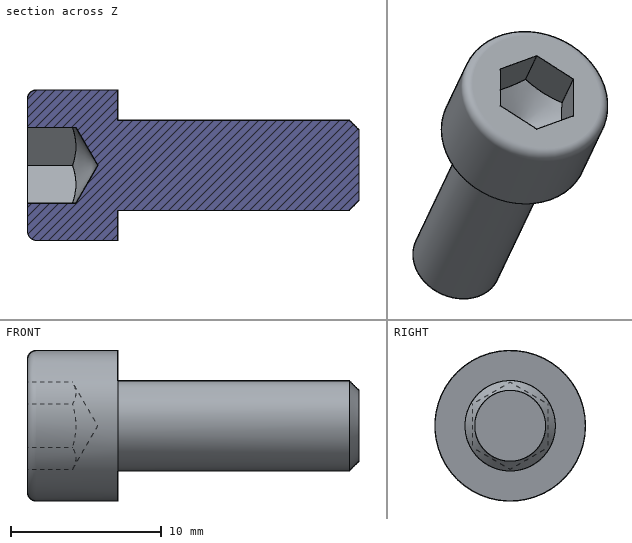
import cadquery as cq
import math

thread_diameter = 6.0
shank_length = 16.0
end_chamfer = 0.65

head_diameter = 10.0
head_length = thread_diameter
head_fillet = 0.6

hex_across_flats = 5.0
hex_depth = 3.0
socket_cone_angle = 120.0

hex_across_corners = hex_across_flats / math.cos(math.radians(30))
socket_cone_radius = hex_across_corners / 2
socket_cone_depth = socket_cone_radius / math.tan(math.radians(socket_cone_angle / 2))


def make_head():
    """Cylindrical head with a rounded outer edge on its driving face."""
    head = cq.Workplane("YZ").circle(head_diameter / 2).extrude(-head_length)
    return head.faces("<X").edges().fillet(head_fillet)


def make_shank():
    """Plain shank with a chamfered tip."""
    shank = cq.Workplane("YZ").circle(thread_diameter / 2).extrude(shank_length)
    return shank.faces(">X").edges().chamfer(end_chamfer)


def make_socket():
    """Hexagonal socket, two corners on the Z axis, ending in a cone on the screw axis."""
    floor_x = -head_length + hex_depth
    tip_x = floor_x + socket_cone_depth
    hexagon = (
        cq.Workplane("YZ", origin=(-head_length, 0, 0))
        .transformed(rotate=(0, 0, 90))
        .polygon(6, hex_across_corners)
        .extrude(hex_depth + socket_cone_depth)
    )
    drill = (
        cq.Workplane("XY")
        .polyline([
            (-head_length, 0),
            (-head_length, socket_cone_radius),
            (floor_x, socket_cone_radius),
            (tip_x, 0),
        ])
        .close()
        .revolve(360, (0, 0, 0), (1, 0, 0))
    )
    return hexagon.intersect(drill)


result = make_head().union(make_shank()).cut(make_socket())